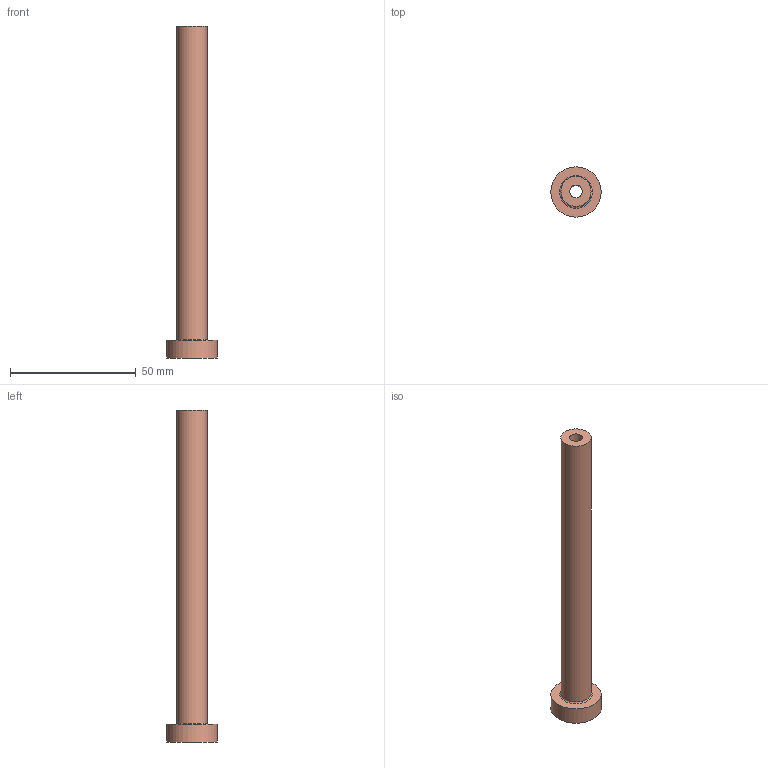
import cadquery as cq

total_length = 132.0
head_diameter = 20.0
head_height = 7.0
shank_diameter = 12.0
bore_diameter = 5.0
root_fillet_radius = 0.5


def make_body():
    """Head and shank, with a fillet where the shank meets the head."""
    head_radius = head_diameter / 2
    shank_radius = shank_diameter / 2
    root_fillet_edge = shank_radius + root_fillet_radius
    root_fillet_top = head_height + root_fillet_radius
    half_profile = (
        cq.Workplane("XZ")
        .lineTo(head_radius, 0)
        .lineTo(head_radius, head_height)
        .lineTo(root_fillet_edge, head_height)
        .radiusArc((shank_radius, root_fillet_top), root_fillet_radius)
        .lineTo(shank_radius, total_length)
        .lineTo(0, total_length)
        .close()
    )
    return half_profile.revolve(360, (0, 0, 0), (0, 1, 0))


def make_bore():
    """Straight bore through the full length."""
    return cq.Workplane("XY").circle(bore_diameter / 2).extrude(total_length)


result = make_body().cut(make_bore())